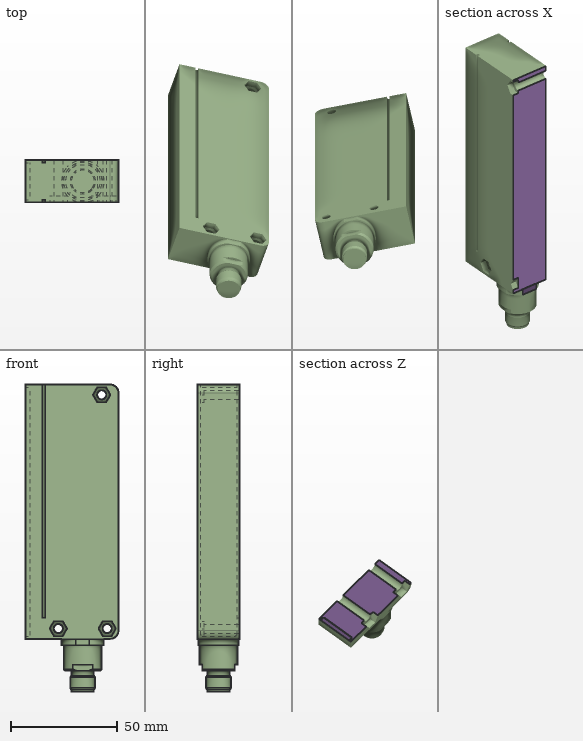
import cadquery as cq
import math

housing_length = 44.0
housing_depth = 20.0
housing_height = 120.0
corner_radius = 4.0
axis_from_front = 27.0
x_front = -axis_from_front
x_back = x_front + housing_length
y_side = housing_depth / 2

window_margin = 1.3
window_thickness = 2.0
window_corner_radius = 1.5
window_width = housing_depth - 2 * window_margin
window_height = housing_height - 2 * window_margin

groove_width = 1.3
groove_depth = 1.3
groove_from_front = 8.0
groove_bottom = 10.0

hole_diameter = 4.2
hex_across_flats = 7.1
hex_depth = 3.0
hole_from_edge = 5.0
lower_hole_spacing = 23.0
lower_back_hole_from_back = 5.4
upper_hole_from_back = 8.0
x_lower_back_hole = x_back - lower_back_hole_from_back
hole_places = [
    (x_lower_back_hole - lower_hole_spacing, hole_from_edge),
    (x_lower_back_hole, hole_from_edge),
    (x_back - upper_hole_from_back, housing_height - hole_from_edge),
]

collar_radius = 10.0
collar_height = 3.0
collar_across_flats = 19.0

barrel_radius = 9.0
barrel_bottom = 15.1
barrel_chamfer = 0.9
barrel_across_flats = 15.4
flat_top = 12.0
neck_radius = 5.4
thread_radius = 6.0
thread_top = 17.3
thread_bottom = 23.9
thread_chamfer_height = 0.9
connector_bottom = 25.0


def make_window():
    """Flat cover with sharp upper and rounded lower corners."""
    return (
        cq.Workplane("XY")
        .box(window_thickness, window_width, window_height, centered=(False, True, False))
        .edges("|X and <Z")
        .fillet(window_corner_radius)
        .translate((x_front, 0, window_margin))
    )


def cut_groove(body, y_face):
    """Cut one groove into the broad face at y_face."""
    cutter = (
        cq.Workplane("XY")
        .box(groove_width, 2 * groove_depth, housing_height - groove_bottom, centered=(False, True, False))
        .translate((x_front + groove_from_front, y_face, groove_bottom))
    )
    return body.cut(cutter)


def cut_mounting_hole(body, place):
    """Cut a through hole and its nut pocket, with hexagon corners along X."""
    face = cq.Workplane("XZ", origin=(0, -y_side, 0)).center(*place)
    hole = face.circle(hole_diameter / 2).extrude(-housing_depth)
    hexagon_diameter = hex_across_flats / math.cos(math.pi / 6)
    pocket = face.polygon(6, hexagon_diameter).extrude(-hex_depth)
    return body.cut(hole).cut(pocket)


def make_housing(window):
    """Block with rounded back corners, grooves, mounting holes and a window recess."""
    body = (
        cq.Workplane("XY")
        .box(housing_length, housing_depth, housing_height, centered=(False, True, False))
        .translate((x_front, 0, 0))
        .edges("|Y and >X")
        .fillet(corner_radius)
    )
    for y_face in (-y_side, y_side):
        body = cut_groove(body, y_face)
    for place in hole_places:
        body = cut_mounting_hole(body, place)
    return body.cut(window)


def flat_slab(across_flats, top, bottom):
    """Slab between two depths below the housing, used to trim round bodies to flats facing -Y and +Y."""
    return (
        cq.Workplane("XY")
        .box(2 * collar_radius, across_flats, bottom - top, centered=(True, True, False))
        .translate((0, 0, -bottom))
    )


def make_collar():
    """Disc with a flat on the -Y and +Y sides."""
    disc = cq.Workplane("XY").circle(collar_radius).extrude(-collar_height)
    return disc.intersect(flat_slab(collar_across_flats, 0, collar_height))


def make_connector():
    """Barrel with wrench flats at its lower end, then a neck and a smooth threaded-end envelope."""
    profile = [
        (0, -collar_height),
        (barrel_radius, -collar_height),
        (barrel_radius, barrel_chamfer - barrel_bottom),
        (barrel_radius - barrel_chamfer, -barrel_bottom),
        (neck_radius, -barrel_bottom),
        (neck_radius, -thread_top),
        (thread_radius, -thread_top - thread_chamfer_height),
        (thread_radius, thread_chamfer_height - thread_bottom),
        (neck_radius, -thread_bottom),
        (neck_radius, -connector_bottom),
        (0, -connector_bottom),
    ]
    body = cq.Workplane("XZ").polyline(profile).close().revolve(360, (0, 0), (0, 1))
    upper = flat_slab(2 * collar_radius, collar_height, flat_top)
    lower = flat_slab(barrel_across_flats, flat_top, connector_bottom)
    return body.intersect(upper.union(lower))


window = make_window()
housing = make_housing(window)
collar = make_collar()
connector = make_connector()

result = cq.Compound.makeCompound([housing.val(), window.val(), collar.val(), connector.val()])